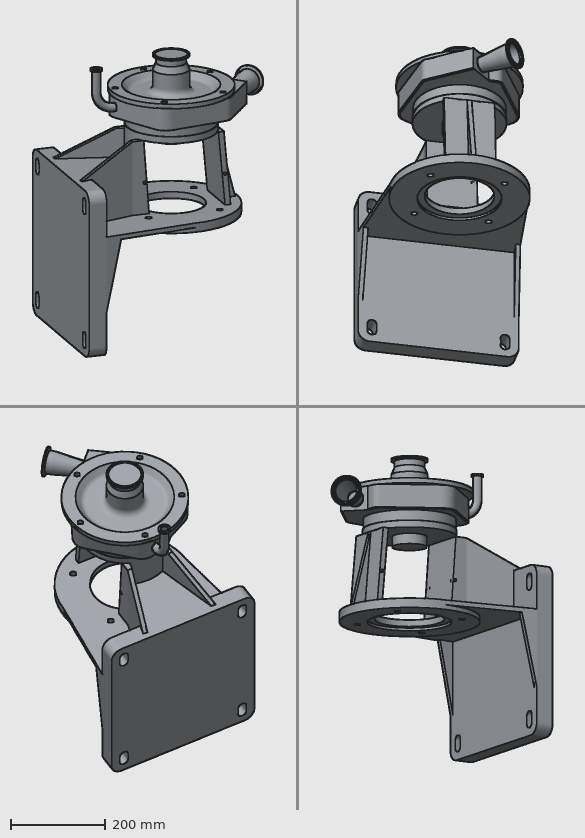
import cadquery as cq
import math


OVERLAP = 6.0

PLATE_WIDTH = 350.0
PLATE_HEIGHT = 370.0
PLATE_THICKNESS = 40.0
PLATE_CORNER_RADIUS = 25.0
PLATE_FRONT_Y = -249.5
PLATE_BACK_Y = PLATE_FRONT_Y + PLATE_THICKNESS
SLOT_WIDTH = 20.0
SLOT_LENGTH = 36.0
SLOT_SPACING_X = 289.5
SLOT_SPACING_Z = 299.0

SHELF_TOP = 270.0
SHELF_THICKNESS = 10.0
SHELF_BOTTOM = SHELF_TOP - SHELF_THICKNESS
DISK_RADIUS = 149.5
DISK_THICKNESS = 20.5
DISK_BORE_RADIUS = 74.0
SPIGOT_RECESS_RADIUS = 90.0
SPIGOT_RECESS_DEPTH = 6.0
MOTOR_BOLT_RADIUS = 114.0
MOTOR_BOLT_DIAMETER = 13.0
MOTOR_BOLT_COUNT = 4
FIRST_MOTOR_BOLT_ANGLE = 45.0
UNDER_RIB_THICKNESS = 10.0
UNDER_RIB_REACH = 34.5
UNDER_RIB_FOOT = 101.5

LEG_TOP = 435.0
LEG_HEIGHT = LEG_TOP - SHELF_TOP
LEG_HALF_WIDTH = 55.0
FRONT_LEG_INNER_TOP_Y = -82.0
FRONT_LEG_INNER_BOTTOM_Y = -70.0
GUSSET_START_Y = -108.0
GUSSET_ANGLE = 15.0
GUSSET_THICKNESS = 10.0
GUSSET_END_Y = -234.0
REAR_LEG_TOP_Y = 87.0
REAR_LEG_BOTTOM_Y = 102.0
REAR_LEG_THICKNESS = 12.5
REAR_RIB_THICKNESS = 10.0
REAR_RIB_FOOT_Y = 143.0
GUARD_HOLE_DIAMETER = 6.0
GUARD_HOLE_DEPTH = 12.0
GUARD_HOLE_Z = 340.0
GUARD_HOLE_YS = (-79.5, 102.0)

COLLAR_RADIUS = 100.0
COLLAR_TOP = 450.0
CASING_SEAT_RADIUS = 99.0
HUB_RADIUS = 37.0
HUB_BOTTOM = 412.5
CASING_BOTTOM = 473.0
CASING_TOP = 524.0
CASING_MID = (CASING_BOTTOM + CASING_TOP) / 2
CASING_APOTHEM = 114.5
CASING_SIDES = 5
FIRST_CORNER_ANGLE = 45.0
CASING_CORNER_RADIUS = 35.0
CASING_BEVEL_HEIGHT = 3.5
CASING_BEVEL_INSET = 2.0
OUTLET_CORNER_RADIUS = 18.0
REAR_FLAT_Y = 126.0
REAR_FLAT_NORMAL = 90.0
OUTLET_ANGLE = 135.0
OUTLET_EDGE_ANGLE = OUTLET_ANGLE - 90
OUTLET_EDGE_OFFSET = 123.5
OUTLET_SIDE_NORMAL = 52.5

COVER_RADIUS = 135.0
COVER_TOP = 534.0
COVER_BOLT_RADIUS = 121.0
COVER_BOLT_DIAMETER = 12.0
DISH_RADIUS = 105.0
DISH_DEPTH = 15.0
DISH_FILLET = 14.5
DISH_FLOOR = COVER_TOP - DISH_DEPTH
COVER_SPIGOT_BOTTOM = DISH_FLOOR - OVERLAP

NECK_RADIUS = 39.0
NECK_FILLET = 15.0
NECK_SHOULDER_Z = 568.5
NECK_TOP_RADIUS = 32.5
NECK_CONE_TOP_Z = 584.5
NECK_FLANGE_RADIUS = 39.0
NECK_FLANGE_THICKNESS = 3.5
NECK_FLANGE_TAPER = 2.0
NECK_GROOVE_RADIUS = 36.0
TOTAL_HEIGHT = 603.0

NOZZLE_OFFSET = 91.0
NOZZLE_LENGTH = 85.0
NOZZLE_CONE_LENGTH = 66.5
NOZZLE_BASE_RADIUS = 17.5
NOZZLE_BASE_LENGTH = 3.0
NOZZLE_END_RADIUS = 25.5
NOZZLE_FLANGE_RADIUS = 32.5
NOZZLE_FLANGE_THICKNESS = 3.0
NOZZLE_FLANGE_TAPER = 2.5
NOZZLE_WALL = 2.0
NOZZLE_MOUTH_DEPTH = 13.0
NOZZLE_THROAT_DEPTH = 28.0
NOZZLE_THROAT_RADIUS = 22.0
NOZZLE_GROOVE_RADIUS = 28.5

GROOVE_WIDTH = 2.5
GROOVE_DEPTH = 1.0

DRAIN_RADIUS = 9.5
DRAIN_BORE_RADIUS = 8.0
DRAIN_Y = -169.5
DRAIN_BEND_RADIUS = 37.0
DRAIN_TOP = 588.5
DRAIN_FLANGE_RADIUS = 12.5
DRAIN_FLANGE_THICKNESS = 4.0


def polar(radius, angle):
    """Point at the given radius and angle in degrees about the pump axis."""
    return (radius * math.cos(math.radians(angle)), radius * math.sin(math.radians(angle)))


def disk(radius, bottom, top):
    return cq.Workplane("XY").workplane(offset=bottom).circle(radius).extrude(top - bottom)


def side_plate(points, x_start, x_end):
    """Prism with a (Y, Z) outline, running along X."""
    return cq.Workplane("YZ").workplane(offset=x_start).polyline(points).close().extrude(x_end - x_start)


def mirrored_pair(body):
    return body.union(body.mirror("YZ"))


def make_wall_plate():
    back = cq.Workplane("XZ", origin=(0, PLATE_BACK_Y, PLATE_HEIGHT / 2))
    plate = back.rect(PLATE_WIDTH, PLATE_HEIGHT).extrude(PLATE_THICKNESS)
    plate = plate.edges("|Y").fillet(PLATE_CORNER_RADIUS)
    slots = (
        back.rect(SLOT_SPACING_X, SLOT_SPACING_Z, forConstruction=True)
        .vertices()
        .slot2D(SLOT_LENGTH, SLOT_WIDTH, 90)
        .extrude(PLATE_THICKNESS)
    )
    return plate.cut(slots)


def shelf_outline():
    """Plan of the shelf, widening from the disk to the wall plate."""
    half_width = PLATE_WIDTH / 2
    return [
        (-DISK_RADIUS, 0),
        (-half_width, PLATE_BACK_Y),
        (half_width, PLATE_BACK_Y),
        (DISK_RADIUS, 0),
    ]


def make_shelf():
    tongue = cq.Workplane("XY").workplane(offset=SHELF_BOTTOM).polyline(shelf_outline()).close()
    shelf = tongue.extrude(SHELF_THICKNESS).union(disk(DISK_RADIUS, SHELF_TOP - DISK_THICKNESS, SHELF_TOP))
    bolts = (
        cq.Workplane("XY")
        .workplane(offset=SHELF_TOP)
        .polarArray(MOTOR_BOLT_RADIUS, FIRST_MOTOR_BOLT_ANGLE, 360, MOTOR_BOLT_COUNT)
        .circle(MOTOR_BOLT_DIAMETER / 2)
        .extrude(-DISK_THICKNESS)
    )
    disk_bottom = SHELF_TOP - DISK_THICKNESS
    bore = disk(DISK_BORE_RADIUS, disk_bottom, SHELF_TOP)
    recess = disk(SPIGOT_RECESS_RADIUS, disk_bottom, disk_bottom + SPIGOT_RECESS_DEPTH)
    return shelf.cut(bore).cut(recess).cut(bolts)


def make_under_ribs():
    """Triangular ribs below the shelf, flush with its slanted sides."""
    profile = [
        (PLATE_BACK_Y, UNDER_RIB_FOOT),
        (PLATE_BACK_Y + UNDER_RIB_REACH, SHELF_BOTTOM),
        (PLATE_BACK_Y, SHELF_BOTTOM),
    ]
    wedge = side_plate(profile, -PLATE_WIDTH / 2, PLATE_WIDTH / 2)
    outer_top, outer_foot = shelf_outline()[:2]
    strip = (
        cq.Workplane("XY")
        .polyline([
            outer_top,
            outer_foot,
            (outer_foot[0] + UNDER_RIB_THICKNESS, outer_foot[1]),
            (outer_top[0] + UNDER_RIB_THICKNESS, outer_top[1]),
        ])
        .close()
        .extrude(SHELF_BOTTOM)
    )
    return mirrored_pair(wedge.intersect(strip))


def make_front_leg():
    """Curved leg flush with the collar, with a sloping flat inner face."""
    profile = [
        (FRONT_LEG_INNER_BOTTOM_Y, SHELF_TOP),
        (FRONT_LEG_INNER_TOP_Y, LEG_TOP),
        (-COLLAR_RADIUS, LEG_TOP),
        (-COLLAR_RADIUS, SHELF_TOP),
    ]
    block = side_plate(profile, -LEG_HALF_WIDTH, LEG_HALF_WIDTH)
    return block.intersect(disk(COLLAR_RADIUS, SHELF_TOP, LEG_TOP))


def make_gussets():
    """Splayed gussets from the front leg to the wall plate, with a solid saddle between them."""
    splay = math.tan(math.radians(GUSSET_ANGLE))
    width = GUSSET_THICKNESS / math.cos(math.radians(GUSSET_ANGLE))
    end_x = -LEG_HALF_WIDTH - splay * (GUSSET_START_Y - GUSSET_END_Y)
    root_y = FRONT_LEG_INNER_TOP_Y
    inner_root = (end_x + width + splay * (root_y - GUSSET_END_Y), root_y)
    inner_end = (end_x + width, GUSSET_END_Y)
    gusset_plan = [
        (-LEG_HALF_WIDTH, root_y),
        (-LEG_HALF_WIDTH, GUSSET_START_Y),
        (end_x, GUSSET_END_Y),
        inner_end,
        inner_root,
    ]
    saddle_half_plan = [inner_root, inner_end, (0, GUSSET_END_Y), (0, root_y)]
    profile = [
        (root_y, SHELF_TOP),
        (root_y, LEG_TOP),
        (GUSSET_START_Y, LEG_TOP),
        (GUSSET_END_Y, PLATE_HEIGHT),
        (GUSSET_END_Y, SHELF_TOP),
    ]
    floor = cq.Workplane("XY").workplane(offset=SHELF_TOP)
    gusset = floor.polyline(gusset_plan).close().extrude(LEG_HEIGHT)
    gusset = gusset.intersect(side_plate(profile, end_x, 0))
    saddle_half = floor.polyline(saddle_half_plan).close().extrude(PLATE_HEIGHT - SHELF_TOP)
    return mirrored_pair(gusset.union(saddle_half))


def make_rear_leg():
    """Leaning flat leg with a central triangular rib behind it."""
    leg = side_plate(
        [
            (REAR_LEG_BOTTOM_Y, SHELF_TOP),
            (REAR_LEG_TOP_Y, LEG_TOP),
            (REAR_LEG_TOP_Y + REAR_LEG_THICKNESS, LEG_TOP),
            (REAR_LEG_BOTTOM_Y + REAR_LEG_THICKNESS, SHELF_TOP),
        ],
        -LEG_HALF_WIDTH,
        LEG_HALF_WIDTH,
    )
    rib = side_plate(
        [
            (REAR_LEG_BOTTOM_Y, SHELF_TOP),
            (REAR_LEG_TOP_Y, LEG_TOP),
            (COLLAR_RADIUS, LEG_TOP),
            (REAR_RIB_FOOT_Y, SHELF_TOP),
        ],
        -REAR_RIB_THICKNESS / 2,
        REAR_RIB_THICKNESS / 2,
    )
    return leg.union(rib)


def make_guard_holes():
    """Blind holes in the outer sides of both legs."""
    holes = (
        cq.Workplane("YZ")
        .workplane(offset=-LEG_HALF_WIDTH)
        .pushPoints([(y, GUARD_HOLE_Z) for y in GUARD_HOLE_YS])
        .circle(GUARD_HOLE_DIAMETER / 2)
        .extrude(GUARD_HOLE_DEPTH)
    )
    return mirrored_pair(holes)


def flat_crossing(normal_a, distance_a, normal_b, distance_b):
    """Plan point where two flats meet, each given by its normal angle and distance from the axis."""
    ax, ay = polar(1, normal_a)
    bx, by = polar(1, normal_b)
    spread = ax * by - ay * bx
    return ((distance_a * by - distance_b * ay) / spread, (distance_b * ax - distance_a * bx) / spread)


def outlet_point(distance, offset):
    """Plan point at a distance out along the outlet direction and an offset along its face."""
    return flat_crossing(OUTLET_ANGLE, distance, OUTLET_EDGE_ANGLE, offset)


def bevel_bottom(casing):
    """Bevel the bottom rim of the casing everywhere except along the outlet face."""
    out_x, out_y = polar(1, OUTLET_ANGLE)

    def on_outlet_face(edge):
        center = edge.Center()
        return math.isclose(center.x * out_x + center.y * out_y, CASING_APOTHEM)

    rim = [edge for edge in casing.faces("<Z").edges().vals() if not on_outlet_face(edge)]
    return casing.newObject(rim).chamfer(CASING_BEVEL_HEIGHT, CASING_BEVEL_INSET)


def make_casing():
    """Rounded five-sided casing with a flat outlet face and a round seat for the cover."""
    pitch = 360 / CASING_SIDES
    corner_distance = CASING_APOTHEM / math.cos(math.radians(pitch / 2))
    corners = [polar(corner_distance, FIRST_CORNER_ANGLE + pitch * k) for k in range(2, CASING_SIDES)]
    left_flat = FIRST_CORNER_ANGLE + pitch * 1.5
    side_flat = FIRST_CORNER_ANGLE - pitch / 2

    outlet_edge = outlet_point(CASING_APOTHEM, OUTLET_EDGE_OFFSET)
    edge_distance = math.hypot(*outlet_edge)
    edge_angle = math.degrees(math.atan2(outlet_edge[1], outlet_edge[0]))
    side_distance = edge_distance * math.cos(math.radians(edge_angle - OUTLET_SIDE_NORMAL))
    rear_corner = flat_crossing(left_flat, CASING_APOTHEM, REAR_FLAT_NORMAL, REAR_FLAT_Y)
    outlet_root = flat_crossing(REAR_FLAT_NORMAL, REAR_FLAT_Y, OUTLET_ANGLE, CASING_APOTHEM)
    outlet_heel = flat_crossing(side_flat, CASING_APOTHEM, OUTLET_SIDE_NORMAL, side_distance)

    outline = [outlet_edge, outlet_root, rear_corner] + corners + [outlet_heel]
    casing = cq.Workplane("XY").workplane(offset=CASING_BOTTOM).polyline(outline).close()
    casing = casing.extrude(CASING_TOP - CASING_BOTTOM)

    def round_corners(body, points, radius):
        for x, y in points:
            body = body.edges(cq.NearestToPointSelector((x, y, CASING_MID))).fillet(radius)
        return body

    casing = round_corners(casing, corners, CASING_CORNER_RADIUS)
    casing = round_corners(casing, [rear_corner, outlet_heel], OUTLET_CORNER_RADIUS)
    casing = bevel_bottom(casing)
    return casing.cut(disk(CASING_SEAT_RADIUS, COVER_SPIGOT_BOTTOM, CASING_TOP))


def gasket_groove(radius):
    """Ring to cut from a clamp flange whose face lies at Z = 0."""
    ring = cq.Workplane("XY").circle(radius + GROOVE_WIDTH / 2).circle(radius - GROOVE_WIDTH / 2)
    return ring.extrude(-GROOVE_DEPTH)


def make_cover_and_neck():
    """Turned cover with a dished centre, rising into the clamp-ended suction neck."""
    slope = math.radians(45)
    wall_foot_z = DISH_FLOOR + DISH_FILLET * (1 - math.cos(slope))
    wall_foot_r = DISH_RADIUS - (COVER_TOP - wall_foot_z)
    floor_r = wall_foot_r - DISH_FILLET * math.sin(slope)
    dish_mid = (
        floor_r + DISH_FILLET * math.sin(slope / 2),
        DISH_FLOOR + DISH_FILLET * (1 - math.cos(slope / 2)),
    )
    neck_mid_gap = NECK_FILLET * (1 - math.cos(slope))
    flange_bottom = TOTAL_HEIGHT - NECK_FLANGE_THICKNESS
    profile = (
        cq.Workplane("XZ")
        .moveTo(0, COVER_SPIGOT_BOTTOM)
        .lineTo(CASING_SEAT_RADIUS, COVER_SPIGOT_BOTTOM)
        .lineTo(CASING_SEAT_RADIUS, CASING_TOP)
        .lineTo(COVER_RADIUS, CASING_TOP)
        .lineTo(COVER_RADIUS, COVER_TOP)
        .lineTo(DISH_RADIUS, COVER_TOP)
        .lineTo(wall_foot_r, wall_foot_z)
        .threePointArc(dish_mid, (floor_r, DISH_FLOOR))
        .lineTo(NECK_RADIUS + NECK_FILLET, DISH_FLOOR)
        .threePointArc(
            (NECK_RADIUS + neck_mid_gap, DISH_FLOOR + neck_mid_gap),
            (NECK_RADIUS, DISH_FLOOR + NECK_FILLET),
        )
        .lineTo(NECK_RADIUS, NECK_SHOULDER_Z)
        .lineTo(NECK_TOP_RADIUS, NECK_CONE_TOP_Z)
        .lineTo(NECK_TOP_RADIUS, flange_bottom - NECK_FLANGE_TAPER)
        .lineTo(NECK_FLANGE_RADIUS, flange_bottom)
        .lineTo(NECK_FLANGE_RADIUS, TOTAL_HEIGHT)
        .lineTo(0, TOTAL_HEIGHT)
        .close()
    )
    bolts = (
        cq.Workplane("XY")
        .workplane(offset=CASING_TOP)
        .polarArray(COVER_BOLT_RADIUS, FIRST_CORNER_ANGLE, 360, CASING_SIDES)
        .circle(COVER_BOLT_DIAMETER / 2)
        .extrude(COVER_TOP - CASING_TOP)
    )
    groove = gasket_groove(NECK_GROOVE_RADIUS).translate((0, 0, TOTAL_HEIGHT))
    return profile.revolve(360, (0, 0, 0), (0, 1, 0)).cut(bolts).cut(groove)


def make_nozzle():
    """Flared outlet nozzle with a clamp flange and a tapering bore."""
    flange_back = NOZZLE_LENGTH - NOZZLE_FLANGE_THICKNESS
    base_bore = NOZZLE_BASE_RADIUS - NOZZLE_WALL
    end_bore = NOZZLE_END_RADIUS - NOZZLE_WALL
    profile = [
        (0, -OVERLAP),
        (NOZZLE_BASE_RADIUS, -OVERLAP),
        (NOZZLE_BASE_RADIUS, NOZZLE_BASE_LENGTH),
        (NOZZLE_END_RADIUS, NOZZLE_CONE_LENGTH),
        (NOZZLE_END_RADIUS, flange_back - NOZZLE_FLANGE_TAPER),
        (NOZZLE_FLANGE_RADIUS, flange_back),
        (NOZZLE_FLANGE_RADIUS, NOZZLE_LENGTH),
        (end_bore, NOZZLE_LENGTH),
        (end_bore, NOZZLE_LENGTH - NOZZLE_MOUTH_DEPTH),
        (NOZZLE_THROAT_RADIUS, NOZZLE_LENGTH - NOZZLE_THROAT_DEPTH),
        (base_bore, 0),
        (0, 0),
    ]
    base_x, base_y = outlet_point(CASING_APOTHEM, NOZZLE_OFFSET)
    edge_x, edge_y = polar(1, OUTLET_EDGE_ANGLE)
    plane = cq.Plane(origin=(base_x, base_y, CASING_MID), xDir=(0, 0, 1), normal=(-edge_x, -edge_y, 0))
    nozzle = cq.Workplane(plane).polyline(profile).close().revolve(360, (0, 0, 0), (0, 1, 0))
    groove = gasket_groove(NOZZLE_GROOVE_RADIUS).rotate((0, 0, 0), (1, 0, 0), -90)
    groove = groove.rotate((0, 0, 0), (0, 0, 1), OUTLET_EDGE_ANGLE)
    face_x, face_y = outlet_point(CASING_APOTHEM + NOZZLE_LENGTH, NOZZLE_OFFSET)
    return nozzle.cut(groove.translate((face_x, face_y, CASING_MID)))


def make_drain():
    """Elbow from the casing front, turning upward to a small open flange."""
    bend_start_y = DRAIN_Y + DRAIN_BEND_RADIUS
    bend_end_z = CASING_MID + DRAIN_BEND_RADIUS
    corner_gap = DRAIN_BEND_RADIUS * (1 - math.cos(math.radians(45)))
    root_y = bend_start_y + OVERLAP

    def swept_pipe(radius):
        path = (
            cq.Workplane("YZ")
            .moveTo(root_y, CASING_MID)
            .lineTo(bend_start_y, CASING_MID)
            .threePointArc((DRAIN_Y + corner_gap, CASING_MID + corner_gap), (DRAIN_Y, bend_end_z))
            .lineTo(DRAIN_Y, DRAIN_TOP)
        )
        return cq.Workplane("XZ", origin=(0, root_y, CASING_MID)).circle(radius).sweep(path)

    flange = disk(DRAIN_FLANGE_RADIUS, DRAIN_TOP - DRAIN_FLANGE_THICKNESS, DRAIN_TOP)
    pipe = swept_pipe(DRAIN_RADIUS).union(flange.translate((0, DRAIN_Y, 0)))
    return pipe.cut(swept_pipe(DRAIN_BORE_RADIUS))


bracket = (
    make_wall_plate()
    .union(make_shelf())
    .union(make_under_ribs())
    .union(make_front_leg())
    .union(make_gussets())
    .union(make_rear_leg())
    .cut(make_guard_holes())
    .union(disk(COLLAR_RADIUS, LEG_TOP, COLLAR_TOP))
)

pump = (
    make_casing()
    .union(disk(CASING_SEAT_RADIUS, COLLAR_TOP, CASING_BOTTOM))
    .union(disk(HUB_RADIUS, HUB_BOTTOM, COLLAR_TOP))
    .union(make_cover_and_neck())
    .union(make_nozzle())
    .union(make_drain())
)

result = bracket.union(pump)